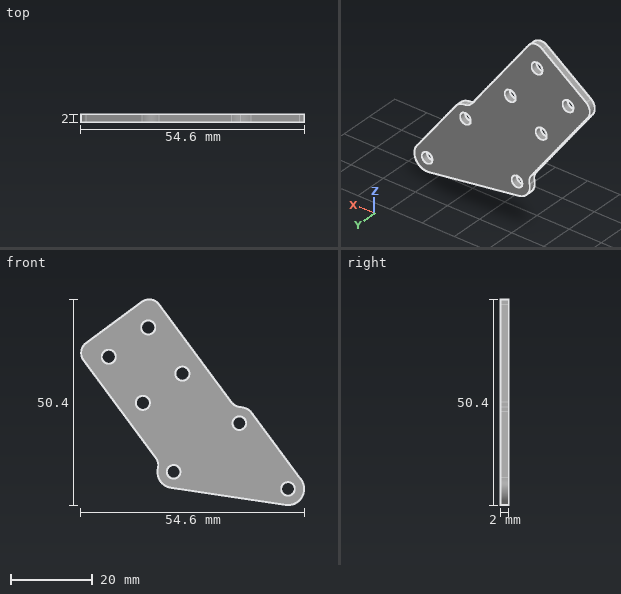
import cadquery as cq

thickness = 2.0
tilt = 36.5
foot_hole_diameter = 3.3
tab_hole_diameter = 3.4

foot_pitch = 20.0
foot_rim = 4.0
foot_edge_offset = 3.95
foot_holes = [(0, 0), (foot_pitch, 0), (foot_pitch, -foot_pitch)]

tab_width = 23.0
tab_height = 38.05
tab_corner_radius = 3.0
neck_radius = 3.0
tab_middle = foot_pitch / 2

tab_hole_spacing = 12.0
tab_row_spacing = 14.05
tab_end_margin = 6.0
outer_row = tab_height - tab_end_margin
tab_holes = [
    (tab_middle + side * tab_hole_spacing / 2, row)
    for side in (-1, 1)
    for row in (outer_row, outer_row - tab_row_spacing)
]


def make_foot():
    diagonal = foot_rim / 2**0.5
    edge_x = foot_pitch + foot_edge_offset
    edge_rise = (foot_rim**2 - foot_edge_offset**2) ** 0.5
    return (
        cq.Workplane("XY")
        .moveTo(-diagonal, -diagonal)
        .threePointArc((-foot_rim, 0), (0, foot_rim))
        .lineTo(foot_pitch, foot_rim)
        .threePointArc((foot_pitch + diagonal, diagonal), (edge_x, edge_rise))
        .lineTo(edge_x, edge_rise - foot_pitch)
        .threePointArc(
            (foot_pitch + diagonal, -foot_pitch - diagonal),
            (foot_pitch - diagonal, -foot_pitch - diagonal),
        )
        .close()
        .extrude(thickness)
    )


def make_tab():
    tab = (
        cq.Workplane("XY")
        .center(tab_middle, tab_height / 2)
        .rect(tab_width, tab_height)
        .extrude(thickness)
    )
    return tab.edges("|Z and >Y").fillet(tab_corner_radius)


def round_necks(plate):
    side_offset = (tab_width - foot_pitch) / 2
    neck_height = (foot_rim**2 - side_offset**2) ** 0.5
    for side in (-1, 1):
        neck = (tab_middle + side * tab_width / 2, neck_height, thickness / 2)
        selector = cq.selectors.NearestToPointSelector(neck)
        plate = plate.edges("|Z").edges(selector).fillet(neck_radius)
    return plate


def make_discs(centres, diameter):
    return cq.Workplane("XY").pushPoints(centres).circle(diameter / 2).extrude(thickness)


plate = round_necks(make_foot().union(make_tab()))
plate = plate.cut(make_discs(foot_holes, foot_hole_diameter))
plate = plate.cut(make_discs(tab_holes, tab_hole_diameter))

upright = plate.rotate((0, 0, 0), (1, 0, 0), 90)
result = upright.rotate((0, 0, 0), (0, 1, 0), -tilt)